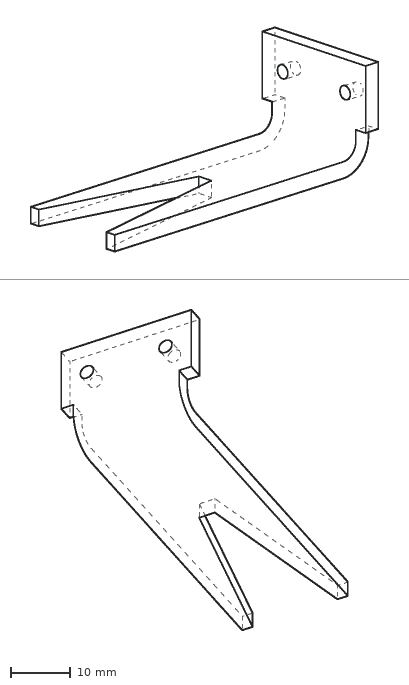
import cadquery as cq

length = 60.0
height = 20.0
thickness = 3.0
inner_bend_radius = 3.0
outer_bend_radius = inner_bend_radius + thickness

plate_width = 25.0
plate_height = 12.0
hole_diameter = 2.5
hole_spacing = 15.1
hole_drop = 6.0

arm_width = 20.3
notch_depth = 31.3
notch_root_width = 3.0
prong_tip_width = 2.0
notch_mouth_width = arm_width - 2 * prong_tip_width

tip_y = -length
front_face_y = -thickness
plate_bottom_z = height - plate_height


def make_bent_strip():
    """L-shaped strip with a rounded bend, as wide as the arm."""
    corner = (
        cq.Workplane("YZ")
        .polyline(
            [
                (0, 0),
                (0, height),
                (front_face_y, height),
                (front_face_y, thickness),
                (tip_y, thickness),
                (tip_y, 0),
            ]
        )
        .close()
        .extrude(arm_width / 2, both=True)
    )
    outer_edge = cq.selectors.NearestToPointSelector((0, 0, 0))
    inner_edge = cq.selectors.NearestToPointSelector((0, front_face_y, thickness))
    bent = corner.edges(outer_edge).fillet(outer_bend_radius)
    return bent.edges(inner_edge).fillet(inner_bend_radius)


def make_mounting_plate():
    """Upright plate, wider than the arm on both sides."""
    return (
        cq.Workplane("XY")
        .box(plate_width, thickness, plate_height, centered=(True, False, False))
        .translate((0, front_face_y, plate_bottom_z))
    )


def make_mounting_holes():
    """Pair of pins that cut the holes through the plate."""
    hole_z = height - hole_drop
    return (
        cq.Workplane("XZ")
        .pushPoints([(side * hole_spacing / 2, hole_z) for side in (-1, 1)])
        .circle(hole_diameter / 2)
        .extrude(thickness)
    )


def make_notch():
    """Tapered notch that splits the arm into two prongs."""
    root_y = tip_y + notch_depth
    return (
        cq.Workplane("XY")
        .polyline(
            [
                (-notch_mouth_width / 2, tip_y),
                (notch_mouth_width / 2, tip_y),
                (notch_root_width / 2, root_y),
                (-notch_root_width / 2, root_y),
            ]
        )
        .close()
        .extrude(thickness)
    )


result = make_bent_strip().union(make_mounting_plate())
result = result.cut(make_mounting_holes()).cut(make_notch())